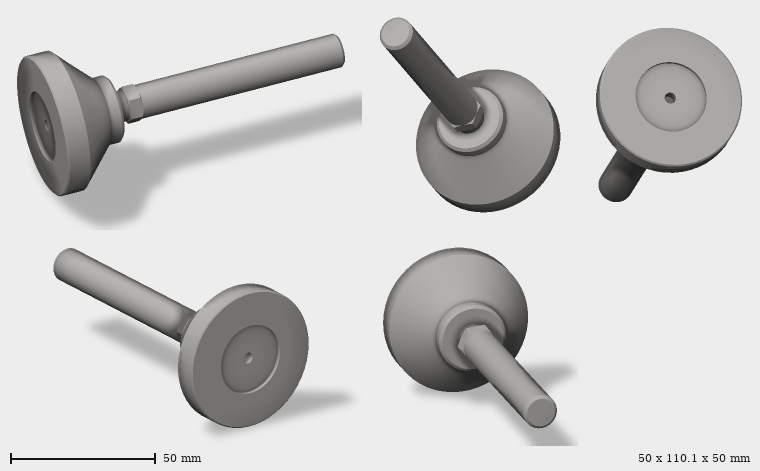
import cadquery as cq
import math


base_radius = 25.0
rim_height = 8.08
rim_chamfer = 0.5
collar_radius = 12.0
collar_height = 5.0
collar_chamfer = 1.0
cone_height = base_radius - collar_radius
foot_height = rim_height + cone_height + collar_height

recess_radius = 12.5
recess_depth = 1.5
centre_hole_radius = 2.0
centre_hole_depth = 5.0

neck_radius = 5.5
neck_length = 4.0
hex_across_flats = 12.0
hex_height = 5.0
hex_rotation = -23.6
hex_face_radius = hex_across_flats / 2
hex_chamfer_angle = 30.0
hex_clear_radius = 7.0
hex_chamfer_height = (hex_clear_radius - hex_face_radius) * math.tan(math.radians(hex_chamfer_angle))
rod_radius = 6.0
rod_length = 75.0
rod_chamfer = 1.0

hex_bottom = foot_height + neck_length
hex_top = hex_bottom + hex_height


def revolve_about_y(points):
    """Turn a closed (radius, height) outline a full turn about the Y axis."""
    return cq.Workplane("XY").polyline(points).close().revolve(360, (0, 0, 0), (0, 1, 0))


def make_foot():
    hole_top = recess_depth + centre_hole_depth
    return revolve_about_y([
        (0, hole_top),
        (centre_hole_radius, hole_top),
        (centre_hole_radius, recess_depth),
        (recess_radius, recess_depth),
        (recess_radius, 0),
        (base_radius - rim_chamfer, 0),
        (base_radius, rim_chamfer),
        (base_radius, rim_height),
        (collar_radius, rim_height + cone_height),
        (collar_radius, foot_height - collar_chamfer),
        (collar_radius - collar_chamfer, foot_height),
        (0, foot_height),
    ])


def make_hexagon():
    """Hexagon whose corners are cut back by a cone at each end."""
    prism = (
        cq.Workplane("XZ", origin=(0, hex_bottom, 0))
        .polygon(6, hex_across_flats, circumscribed=True)
        .extrude(-hex_height)
        .rotate((0, 0, 0), (0, 1, 0), hex_rotation)
    )
    chamfered_envelope = revolve_about_y([
        (0, hex_bottom),
        (hex_face_radius, hex_bottom),
        (hex_clear_radius, hex_bottom + hex_chamfer_height),
        (hex_clear_radius, hex_top - hex_chamfer_height),
        (hex_face_radius, hex_top),
        (0, hex_top),
    ])
    return prism.intersect(chamfered_envelope)


def make_stem():
    neck = cq.Workplane("XZ", origin=(0, foot_height, 0)).circle(neck_radius).extrude(-neck_length)
    rod = (
        cq.Workplane("XZ", origin=(0, hex_top, 0))
        .circle(rod_radius)
        .extrude(-rod_length)
        .faces(">Y")
        .chamfer(rod_chamfer)
    )
    return neck.union(make_hexagon()).union(rod)


foot = make_foot()
stem = make_stem()

result = cq.Compound.makeCompound([foot.val(), stem.val()])